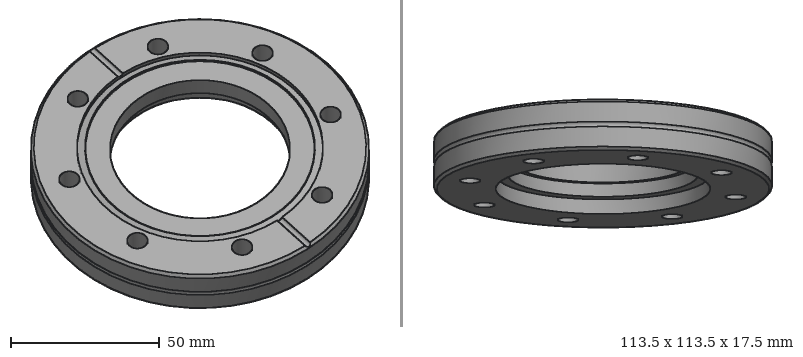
import cadquery as cq
import math

outer_radius = 113.5 / 2
thickness = 17.5
edge_chamfer = 1.0

rim_groove_width = 1.7
rim_groove_depth = 0.3

recess_radius = 82.5 / 2
knife_radius = 77.2 / 2
knife_land = 0.2
knife_depth = 0.6
knife_slope_angle = 20.0
inner_face_depth = 1.2

bore_radius = 60.4 / 2
socket_radius = 64.0 / 2
socket_top = 9.5
relief_radius = 72.0 / 2
relief_top = 5.0

bolt_count = 8
bolt_circle_radius = 92.1 / 2
bolt_hole_diameter = 6.9

leak_groove_width = 2.2
leak_groove_depth = 0.7
leak_groove_count = 2
leak_groove_angle = 180.0 / bolt_count


def make_flange():
    """Revolve the full radial cross-section, drawn in the XZ plane, about Z."""
    middle = thickness / 2
    half_groove = rim_groove_width / 2
    slope_drop = (recess_radius - knife_radius) * math.tan(math.radians(knife_slope_angle))
    inner_face = thickness - inner_face_depth
    knife_tip = thickness - knife_depth
    lower_rim = [
        (relief_radius, 0),
        (outer_radius - edge_chamfer, 0),
        (outer_radius, edge_chamfer),
        (outer_radius, middle - half_groove),
    ]
    upper_rim = [
        (outer_radius, thickness - edge_chamfer),
        (outer_radius - edge_chamfer, thickness),
    ]
    gasket_seat = [
        (recess_radius, thickness),
        (recess_radius, knife_tip - slope_drop),
        (knife_radius, knife_tip),
        (knife_radius - knife_land, knife_tip),
        (knife_radius - knife_land, inner_face),
    ]
    stepped_bore = [
        (bore_radius, inner_face),
        (bore_radius, socket_top),
        (socket_radius, socket_top),
        (socket_radius, relief_top),
        (relief_radius, relief_top),
    ]
    return (
        cq.Workplane("XZ")
        .polyline(lower_rim)
        .threePointArc((outer_radius - rim_groove_depth, middle), (outer_radius, middle + half_groove))
        .polyline(upper_rim + gasket_seat + stepped_bore, includeCurrent=True)
        .close()
        .revolve(360, (0, 0, 0), (0, 1, 0))
    )


def make_bolt_holes():
    """Cylinders for the through holes, the first one on the +X axis."""
    return (
        cq.Workplane("XY")
        .polarArray(bolt_circle_radius, 0, 360, bolt_count)
        .circle(bolt_hole_diameter / 2)
        .extrude(thickness)
    )


def make_leak_groove(angle):
    """Cylinder lying along a radius, cutting an arc-shaped channel from recess to rim."""
    half_width = leak_groove_width / 2
    arc_radius = (half_width**2 + leak_groove_depth**2) / (2 * leak_groove_depth)
    axis_height = thickness - leak_groove_depth + arc_radius
    start = (recess_radius + knife_radius) / 2
    return (
        cq.Workplane("YZ", origin=(start, 0, axis_height))
        .circle(arc_radius)
        .extrude(outer_radius - start)
        .rotate((0, 0, 0), (0, 0, 1), angle)
    )


result = make_flange().cut(make_bolt_holes())
for index in range(leak_groove_count):
    groove_angle = leak_groove_angle + index * 360 / leak_groove_count
    result = result.cut(make_leak_groove(groove_angle))